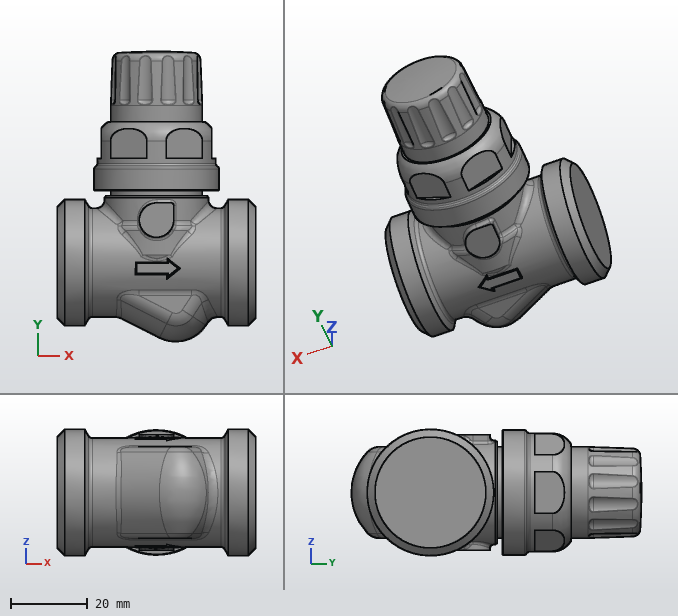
import cadquery as cq
import math


pipe_length = 52.0
pipe_radius = 14.25
flange_radius = 16.55
flange_width = 7.2
flange_chamfer = 2.05
flange_back_depth = 1.0
flange_back_radius = 14.9
flange_root_radius = 1.0

stem_foot_start = 0.7
stem_foot_radius = 14.2
lower_stem_radius = 14.66
lower_stem_start = 2.1
lower_stem_end = 8.4
stem_radius = 13.65
shoulder_end = 11.0
stem_end = 17.5
stem_chamfer = 0.5
neck_radius = 12.0
stem_blend = 2.0

ring_start = 18.8
ring_end = 24.5
ring_radius = 16.37
ring_chamfer = 0.2
bonnet_radius = 15.5
ring_edge_end = 25.0
ring_edge_radius = 16.1
ring_slope_end = 25.4
ring_slope_radius = 15.7
bonnet_start = 25.9
flats_start = 27.2
flats_across = 29.0
flats_count = 6
bonnet_crown_start = 31.8
bonnet_top = 36.8
bonnet_top_radius = 12.6

knob_radius = 12.0
knob_taper_start = 41.1
knob_taper_end = 52.8
knob_tip_radius = 11.56
knob_rim_radius = 10.0
knob_rim_height = 54.85
knob_height = 55.21
flute_count = 12
flute_start = 41.3
flute_radius = 3.26
flute_axis_distance = 14.35
flute_end_round = 1.3
flute_end_clearance = 1.0
flute_edge_round = 0.2

badge_y = 11.1
badge_radius = 4.5
badge_height = 15.14
badge_corner_round = 0.6
badge_blend = 0.9

arrow_y = -1.5
arrow_tail_x = -5.5
arrow_neck_x = 2.7
arrow_tip_x = 6.2
arrow_half_shaft = 1.7
arrow_half_head = 2.8
arrow_height = 14.5
arrow_chamfer = 0.35

belly_center_x = 5.0
belly_center_y = -11.2
belly_tip_radius = 9.5
belly_section_radius = 15.4
belly_half_height = 12.0
belly_edge_round = 4.5
belly_inner_reach = 8.0
belly_inlet_angle = 153.0
belly_inlet_length = 16.0
belly_outlet_angle = 57.0
belly_outlet_length = 8.0
belly_blend = 3.0

match_tolerance = 0.01


def make_pipe():
    half = pipe_length / 2
    flange_inner = half - flange_width
    cone_inner = flange_inner - flange_back_depth
    root_inner = cone_inner - flange_root_radius
    right_half = (
        cq.Workplane("XY")
        .moveTo(0, 0)
        .lineTo(0, pipe_radius)
        .lineTo(root_inner, pipe_radius)
        .tangentArcPoint((cone_inner, flange_back_radius), relative=False)
        .lineTo(flange_inner, flange_radius)
        .lineTo(half - flange_chamfer, flange_radius)
        .lineTo(half, flange_radius - flange_chamfer)
        .lineTo(half, 0)
        .close()
        .revolve(360, (0, 0, 0), (1, 0, 0))
    )
    return right_half.union(right_half.mirror("YZ"))


def belly_section(inner):
    """Upper half of the section across the belly, as (distance from the tip axis, Z) points.

    A large nose arc is blended by a smaller arc into the flat top.
    """
    arc_center = belly_tip_radius - belly_section_radius
    blend_reach = belly_section_radius - belly_edge_round
    blend_y = belly_half_height - belly_edge_round
    blend_x = arc_center + math.sqrt(blend_reach**2 - blend_y**2)
    nose_ratio = belly_section_radius / blend_reach
    touch_x = arc_center + (blend_x - arc_center) * nose_ratio
    touch_y = blend_y * nose_ratio
    middle_angle = (math.pi / 2 + math.atan2(blend_y, blend_x - arc_center)) / 2
    middle_x = blend_x + belly_edge_round * math.cos(middle_angle)
    middle_y = blend_y + belly_edge_round * math.sin(middle_angle)
    return (
        (inner, belly_half_height),
        (blend_x, belly_half_height),
        (middle_x, middle_y),
        (touch_x, touch_y),
        (belly_tip_radius, 0),
    )


def draw_belly_section(plane, inner):
    start, flat_end, middle, touch, nose = belly_section(inner)
    return (
        cq.Workplane(plane)
        .moveTo(start[0], -start[1])
        .lineTo(flat_end[0], -flat_end[1])
        .threePointArc((middle[0], -middle[1]), (touch[0], -touch[1]))
        .threePointArc(nose, touch)
        .threePointArc(middle, flat_end)
        .lineTo(*start)
        .close()
    )


def belly_run(angle, side, length):
    """Straight belly stretch leaving the tip axis; side is +1 or -1 for the outer side."""
    heading = math.radians(angle)
    run = cq.Vector(math.cos(heading), math.sin(heading), 0)
    outward = cq.Vector(-side * run.y, side * run.x, 0)
    normal = outward.cross(cq.Vector(0, 0, 1))
    plane = cq.Plane((belly_center_x, belly_center_y, 0), outward, normal)
    distance = length if plane.zDir.dot(run) > 0 else -length
    return draw_belly_section(plane, -belly_inner_reach).extrude(distance)


def make_belly():
    tip_plane = cq.Plane((belly_center_x, belly_center_y, 0), (1, 0, 0), (0, -1, 0))
    tip = draw_belly_section(tip_plane, 0).revolve(360, (0, 0, 0), (0, 1, 0))
    inlet = belly_run(belly_inlet_angle, 1, belly_inlet_length)
    outlet = belly_run(belly_outlet_angle, -1, belly_outlet_length)
    return tip.union(inlet).union(outlet)


def pipe_seam(body, side):
    """Edges where the pipe surface meets another feature, on the +Y or -Y side."""
    seam = []
    for edge in body.edges().vals():
        middle = edge.positionAt(0.5)
        on_pipe = abs(math.hypot(middle.y, middle.z) - pipe_radius) < match_tolerance
        across_pipe = edge.geomType() == "LINE" and abs(middle.z) > match_tolerance
        if on_pipe and middle.y * side > 0 and (edge.geomType() == "BSPLINE" or across_pipe):
            seam.append(edge)
    return body.newObject(seam)


def make_stem():
    shoulder_middle = (
        (lower_stem_radius + stem_radius) / 2,
        (lower_stem_end + shoulder_end) / 2,
    )
    return (
        cq.Workplane("XY")
        .moveTo(0, stem_foot_start)
        .lineTo(stem_foot_radius, stem_foot_start)
        .lineTo(lower_stem_radius, lower_stem_start)
        .lineTo(lower_stem_radius, lower_stem_end)
        .tangentArcPoint(shoulder_middle, relative=False)
        .tangentArcPoint((stem_radius, shoulder_end), relative=False)
        .lineTo(stem_radius, stem_end - stem_chamfer)
        .lineTo(stem_radius - stem_chamfer, stem_end)
        .lineTo(0, stem_end)
        .close()
        .revolve(360, (0, 0, 0), (0, 1, 0))
    )


def make_badge():
    floor = neck_radius / 2
    height = badge_height - floor
    disc = cq.Workplane("XY", (0, badge_y, floor)).circle(badge_radius).extrude(height)
    corner = (
        cq.Workplane("XY", (0, badge_y, floor))
        .rect(badge_radius, badge_radius, centered=False)
        .extrude(height)
        .edges("|Z and >X and >Y")
        .fillet(badge_corner_round)
    )
    return disc.union(corner)


def badge_seam(body):
    """Edges where the upright walls of both badges meet the stem."""
    seam = []
    for edge in body.edges().vals():
        box = edge.BoundingBox()
        reach_x = max(abs(box.xmin), abs(box.xmax))
        reach_y = max(abs(box.ymin - badge_y), abs(box.ymax - badge_y))
        beside_badge = max(reach_x, reach_y) < badge_radius + match_tolerance
        top = max(abs(box.zmin), abs(box.zmax))
        below_top = neck_radius < top < badge_height - match_tolerance
        if beside_badge and below_top:
            seam.append(edge)
    return body.newObject(seam)


def add_badges(body):
    badge = make_badge()
    for turn in (0, 180):
        body = body.union(badge.rotate((0, 0, 0), (0, 1, 0), turn))
    return badge_seam(body).fillet(badge_blend)


def add_arrows(body):
    floor = pipe_radius / 2
    arrow = (
        cq.Workplane("XY", (0, 0, floor))
        .moveTo(arrow_tail_x, arrow_y + arrow_half_shaft)
        .lineTo(arrow_neck_x, arrow_y + arrow_half_shaft)
        .lineTo(arrow_neck_x, arrow_y + arrow_half_head)
        .lineTo(arrow_tip_x, arrow_y)
        .lineTo(arrow_neck_x, arrow_y - arrow_half_head)
        .lineTo(arrow_neck_x, arrow_y - arrow_half_shaft)
        .lineTo(arrow_tail_x, arrow_y - arrow_half_shaft)
        .close()
        .extrude(arrow_height - floor)
        .faces(">Z")
        .chamfer(arrow_chamfer)
    )
    return body.union(arrow).union(arrow.mirror("XY"))


def make_body():
    body = make_pipe().union(make_stem())
    body = pipe_seam(body, 1).fillet(stem_blend)
    body = body.union(make_belly())
    body = pipe_seam(body, -1).fillet(belly_blend)
    return add_arrows(add_badges(body))


def make_bonnet():
    crown_inset = bonnet_radius - bonnet_top_radius
    crown_rise = bonnet_top - bonnet_crown_start
    crown_radius = (crown_inset**2 + crown_rise**2) / (2 * crown_inset)
    middle_angle = math.asin(crown_rise / crown_radius) / 2
    crown_middle = (
        bonnet_radius - crown_radius * (1 - math.cos(middle_angle)),
        bonnet_crown_start + crown_radius * math.sin(middle_angle),
    )
    bonnet = (
        cq.Workplane("XY")
        .moveTo(0, stem_end)
        .lineTo(neck_radius, stem_end)
        .lineTo(neck_radius, ring_start)
        .lineTo(ring_radius - ring_chamfer, ring_start)
        .lineTo(ring_radius, ring_start + ring_chamfer)
        .lineTo(ring_radius, ring_end)
        .tangentArcPoint((ring_edge_radius, ring_edge_end), relative=False)
        .lineTo(ring_slope_radius, ring_slope_end)
        .tangentArcPoint((bonnet_radius, bonnet_start), relative=False)
        .lineTo(bonnet_radius, bonnet_crown_start)
        .threePointArc(crown_middle, (bonnet_top_radius, bonnet_top))
        .lineTo(0, bonnet_top)
        .close()
        .revolve(360, (0, 0, 0), (0, 1, 0))
    )
    height = bonnet_top - flats_start
    cutter = (
        cq.Workplane("XY")
        .box(bonnet_radius, height, 2 * bonnet_radius, centered=(False, False, True))
        .translate((flats_across / 2, flats_start, 0))
    )
    for i in range(flats_count):
        bonnet = bonnet.cut(cutter.rotate((0, 0, 0), (0, 1, 0), i * 360 / flats_count))
    return bonnet


def make_flute_cutter():
    flute_length = knob_height - flute_start + flute_end_clearance
    return (
        cq.Workplane("XZ", (0, flute_start, 0))
        .center(flute_axis_distance, 0)
        .circle(flute_radius)
        .extrude(-flute_length)
        .faces("<Y")
        .edges()
        .fillet(flute_end_round)
    )


def make_knob():
    dome_rise = knob_height - knob_rim_height
    dome_radius = (knob_rim_radius**2 + dome_rise**2) / (2 * dome_rise)
    dome_middle_x = knob_rim_radius / 2
    dome_sag = dome_radius - math.sqrt(dome_radius**2 - dome_middle_x**2)
    dome_middle = (dome_middle_x, knob_height - dome_sag)
    knob = (
        cq.Workplane("XY")
        .moveTo(0, bonnet_top)
        .lineTo(knob_radius, bonnet_top)
        .lineTo(knob_radius, knob_taper_start)
        .lineTo(knob_tip_radius, knob_taper_end)
        .tangentArcPoint((knob_rim_radius, knob_rim_height), relative=False)
        .threePointArc(dome_middle, (0, knob_height))
        .close()
        .revolve(360, (0, 0, 0), (0, 1, 0))
    )
    cutter = make_flute_cutter()
    pitch = 360 / flute_count
    for i in range(flute_count):
        knob = knob.cut(cutter.rotate((0, 0, 0), (0, 1, 0), (i + 0.5) * pitch))
    return knob.edges("%BSPLINE").fillet(flute_edge_round)


result = make_body().union(make_bonnet()).union(make_knob())